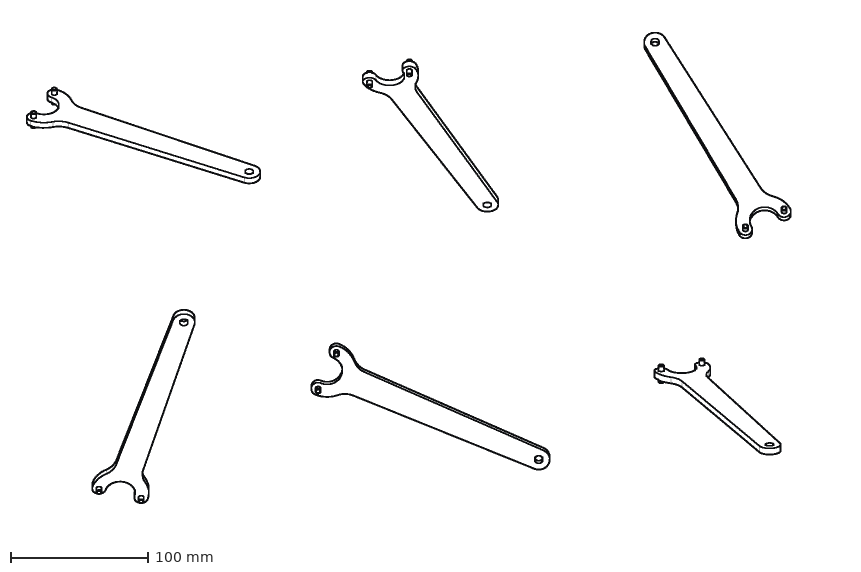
import cadquery as cq
import math

length = 182.8
fork_outer_radius = 21.0
fork_inner_radius = 11.0
plate_thickness = 5.0
handle_end_radius = 8.0
taper_angle = math.radians(0.86)
neck_radius = 15.0
hanging_hole_diameter = 6.0
pin_diameter = 4.0
pin_length = 13.7
pin_chamfer = 0.5

tip_radius = (fork_outer_radius - fork_inner_radius) / 2
pin_offset = (fork_outer_radius + fork_inner_radius) / 2
handle_end_x = length - tip_radius - handle_end_radius


def polar(radius, angle):
    """Point at a distance and angle (radians) from the origin."""
    return (radius * math.cos(angle), radius * math.sin(angle))


def mirrored(point):
    """Point reflected across the X axis."""
    return (point[0], -point[1])


def make_wrench():
    """Tapered plate with an open fork, a round end and holes for the pins."""
    normal_x = math.sin(taper_angle)
    normal_y = math.cos(taper_angle)
    edge_distance = handle_end_x * normal_x + handle_end_radius

    centre_distance = fork_outer_radius + neck_radius
    normal_angle = math.pi / 2 - taper_angle
    offset_from_normal = math.acos((edge_distance + neck_radius) / centre_distance)
    neck_angle = normal_angle - offset_from_normal
    neck_x, neck_y = polar(centre_distance, neck_angle)

    fork_top = (0, fork_outer_radius)
    fork_middle = polar(fork_outer_radius, (math.pi / 2 + neck_angle) / 2)
    neck_start = polar(fork_outer_radius, neck_angle)
    neck_end = (neck_x - neck_radius * normal_x, neck_y - neck_radius * normal_y)
    neck_middle_angle = (neck_angle + normal_angle) / 2 + math.pi
    middle_x, middle_y = polar(neck_radius, neck_middle_angle)
    neck_middle = (neck_x + middle_x, neck_y + middle_y)
    handle_end = (handle_end_x + handle_end_radius * normal_x, handle_end_radius * normal_y)
    notch_top = (0, fork_inner_radius)
    tip = (-tip_radius, pin_offset)

    plate = (
        cq.Workplane("XY")
        .workplane(offset=-plate_thickness / 2)
        .moveTo(*fork_top)
        .threePointArc(fork_middle, neck_start)
        .threePointArc(neck_middle, neck_end)
        .lineTo(*handle_end)
        .threePointArc((handle_end_x + handle_end_radius, 0), mirrored(handle_end))
        .lineTo(*mirrored(neck_end))
        .threePointArc(mirrored(neck_middle), mirrored(neck_start))
        .threePointArc(mirrored(fork_middle), mirrored(fork_top))
        .threePointArc(mirrored(tip), mirrored(notch_top))
        .threePointArc((fork_inner_radius, 0), notch_top)
        .threePointArc(tip, fork_top)
        .close()
        .extrude(plate_thickness)
    )

    plate = plate.cut(
        cq.Workplane("XY")
        .center(handle_end_x, 0)
        .circle(hanging_hole_diameter / 2)
        .extrude(plate_thickness, both=True)
    )

    pin_holes = (
        cq.Workplane("XY")
        .pushPoints([(0, pin_offset), (0, -pin_offset)])
        .circle(pin_diameter / 2)
        .extrude(plate_thickness, both=True)
    )
    return plate.cut(pin_holes)


def make_pin(y):
    """Round pin through a fork tip, chamfered at both ends."""
    return (
        cq.Workplane("XY")
        .center(0, y)
        .circle(pin_diameter / 2)
        .extrude(pin_length / 2, both=True)
        .faces("|Z")
        .edges()
        .chamfer(pin_chamfer)
    )


wrench = make_wrench()
pins = [make_pin(side * pin_offset).val() for side in (-1, 1)]

result = cq.Compound.makeCompound([wrench.val(), *pins])